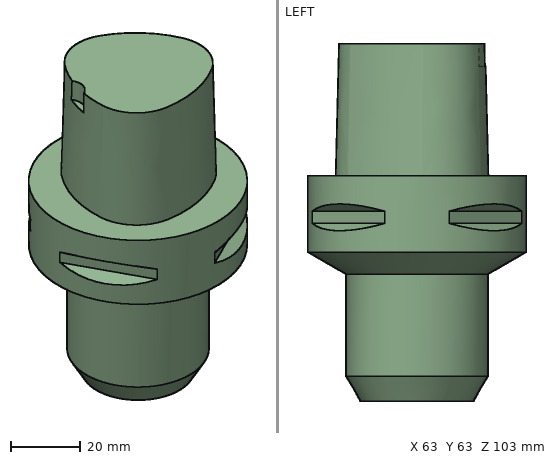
import cadquery as cq
import math


flange_diameter = 63.0
flange_height = 22.0
underside_angle = 30.0

nose_diameter = 41.0
nose_end_diameter = 32.6
nose_chamfer_angle = 60.0

overall_height = 103.0
shank_height = 38.0
lobe_reach = 23.45
side_reach = 20.6
lobe_radius = 15.2
lobe_count = 3
shank_taper_angle = math.degrees(math.atan(1 / 40))

keyway_radius = 5.0
keyway_depth = 6.5
keyway_deepest_y = -17.8

groove_count = 4
groove_first_angle = 45.0
groove_center_z = -12.0
groove_floor_height = 3.5
groove_floor_distance = 27.85
groove_wall_angle = 30.0


def polar(radius, angle):
    """Point at a radius and an angle in degrees."""
    return (radius * math.cos(math.radians(angle)), radius * math.sin(math.radians(angle)))


def make_body():
    """Revolve the flange, its conical underside and the nose."""
    flange_radius = flange_diameter / 2
    nose_radius = nose_diameter / 2
    nose_end_radius = nose_end_diameter / 2
    underside_drop = (flange_radius - nose_radius) * math.tan(math.radians(underside_angle))
    chamfer_height = (nose_radius - nose_end_radius) * math.tan(math.radians(nose_chamfer_angle))
    bottom_z = shank_height - overall_height
    return (
        cq.Workplane("XZ")
        .moveTo(0, 0)
        .lineTo(flange_radius, 0)
        .lineTo(flange_radius, -flange_height)
        .lineTo(nose_radius, -flange_height - underside_drop)
        .lineTo(nose_radius, bottom_z + chamfer_height)
        .lineTo(nose_end_radius, bottom_z)
        .lineTo(0, bottom_z)
        .close()
        .revolve(360, (0, 0, 0), (0, 1, 0))
    )


def make_shank():
    """Tapered shank: lobe arcs tangent to flatter side arcs, with one lobe on +Y."""
    lobe_offset = lobe_reach - lobe_radius
    reach_step = lobe_reach - side_reach
    side_offset = reach_step * (2 * lobe_offset - reach_step) / (lobe_offset - 2 * reach_step)
    side_radius = side_offset + side_reach

    lobe_pitch = 360 / lobe_count
    across = lobe_offset * math.sin(math.radians(lobe_pitch / 2))
    along = side_offset + lobe_offset * math.cos(math.radians(lobe_pitch / 2))
    side_half_angle = math.atan2(across, along)
    joint_across = side_radius * math.sin(side_half_angle)
    joint_along = side_radius * math.cos(side_half_angle) - side_offset
    joint_radius = math.hypot(joint_across, joint_along)
    joint_angle = math.degrees(math.atan2(joint_across, joint_along))

    first_side_angle = -90.0
    outline = cq.Workplane("XY").moveTo(*polar(joint_radius, first_side_angle - joint_angle))
    for index in range(lobe_count):
        side_angle = first_side_angle + index * lobe_pitch
        next_side_angle = side_angle + lobe_pitch
        outline = outline.threePointArc(
            polar(side_reach, side_angle), polar(joint_radius, side_angle + joint_angle)
        )
        outline = outline.threePointArc(
            polar(lobe_reach, side_angle + lobe_pitch / 2),
            polar(joint_radius, next_side_angle - joint_angle),
        )
    return outline.close().extrude(shank_height, taper=shank_taper_angle)


def make_keyway_cutter():
    """Upright cylinder that scoops the keyway out of the shank tip."""
    return (
        cq.Workplane("XY", origin=(0, keyway_deepest_y - keyway_radius, shank_height - keyway_depth))
        .circle(keyway_radius)
        .extrude(keyway_depth)
    )


def make_groove_cutter(angle):
    """Straight groove with a flat floor and flared walls, facing the given direction."""
    depth = flange_diameter / 2 - groove_floor_distance
    floor_half = groove_floor_height / 2
    mouth_half = floor_half + depth * math.tan(math.radians(groove_wall_angle))
    return (
        cq.Workplane("XZ")
        .moveTo(groove_floor_distance, groove_center_z - floor_half)
        .lineTo(flange_diameter / 2, groove_center_z - mouth_half)
        .lineTo(flange_diameter / 2, groove_center_z + mouth_half)
        .lineTo(groove_floor_distance, groove_center_z + floor_half)
        .close()
        .extrude(flange_diameter / 2, both=True)
        .rotate((0, 0, 0), (0, 0, 1), angle)
    )


result = make_body().union(make_shank()).cut(make_keyway_cutter())
for groove_index in range(groove_count):
    groove_angle = groove_first_angle + groove_index * 360 / groove_count
    result = result.cut(make_groove_cutter(groove_angle))